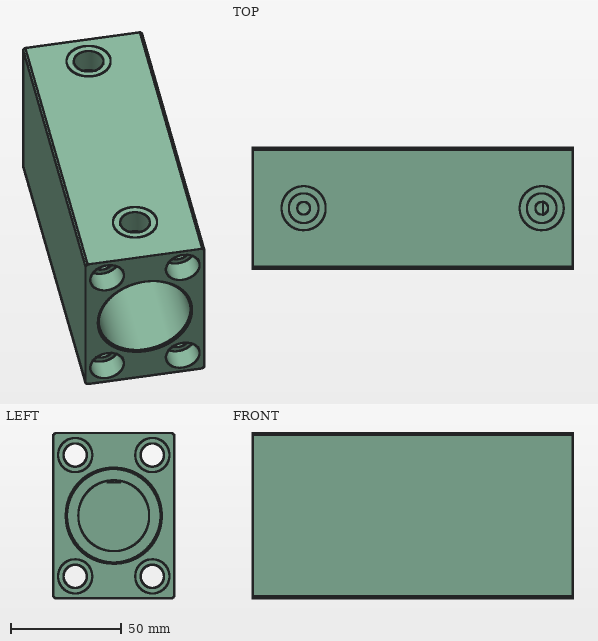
import cadquery as cq

length = 145.0
width = 55.0
height = 75.0
edge_chamfer = 1.0

bore_diameter = 42.3
bore_mouth_diameter = 43.6
bore_depth = 135.0
mouth_chamfer = (bore_mouth_diameter - bore_diameter) / 2

boss_diameter = 32.2
boss_face_x = 131.5

bolt_spacing_y = 35.0
bolt_spacing_z = 55.0
bolt_diameter = 10.5
head_diameter = 15.5
head_depth = 11.0

port_positions_x = (23.0, 131.0)
seat_diameter = 20.0
seat_depth = 0.1
port_diameter = 13.5
port_depth = 12.0
drill_diameter = 5.8
drill_floor_z = 15.1


def make_block():
    block = cq.Workplane("XY").box(length, width, height).translate((length / 2, 0, 0))
    return block.edges("|X").chamfer(edge_chamfer)


def make_bore():
    """Space of the piston bore, with a flared mouth and a boss left at the floor."""
    half_profile = (
        cq.Workplane("XY")
        .lineTo(0, bore_mouth_diameter / 2)
        .lineTo(mouth_chamfer, bore_diameter / 2)
        .lineTo(bore_depth, bore_diameter / 2)
        .lineTo(bore_depth, boss_diameter / 2)
        .lineTo(boss_face_x, boss_diameter / 2)
        .lineTo(boss_face_x, 0)
        .close()
    )
    return half_profile.revolve(360, (0, 0, 0), (1, 0, 0))


def cut_bolt_holes(body):
    return (
        body.faces("<X")
        .workplane(origin=(0, 0, 0))
        .rect(bolt_spacing_y, bolt_spacing_z, forConstruction=True)
        .vertices()
        .cboreHole(bolt_diameter, head_diameter, head_depth)
    )


def make_port(x):
    """Stepped space of one oil port: shallow seat, threaded bore and oil drilling."""
    top = height / 2
    port = cq.Workplane("XY", origin=(x, 0, top))
    seat = port.circle(seat_diameter / 2).extrude(-seat_depth)
    thread = port.circle(port_diameter / 2).extrude(-port_depth)
    drilling = port.circle(drill_diameter / 2).extrude(drill_floor_z - top)
    return seat.union(thread).union(drilling)


result = cut_bolt_holes(make_block()).cut(make_bore())
for port_x in port_positions_x:
    result = result.cut(make_port(port_x))